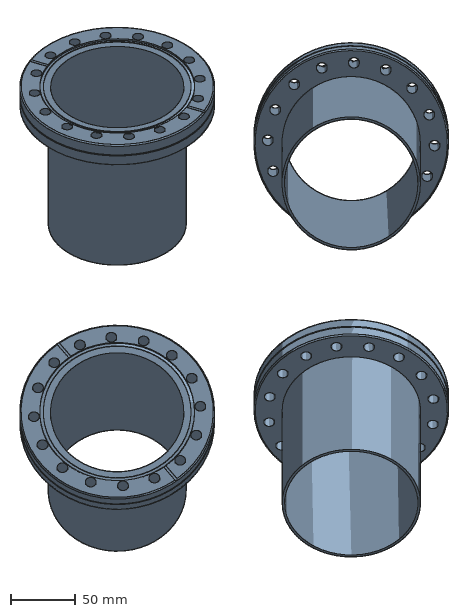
import cadquery as cq

flange_radius = 76.0
total_height = 135.0
flange_thickness = 20.0
edge_chamfer = 1.0
tube_radius = 54.0
bore_radius = 52.0

recess_radius = 60.3
recess_depth = 1.5
knife_radius = 57.6
knife_depth = 0.6
seat_depth = 1.2

rim_groove_width = 1.0
rim_groove_depth = 0.3

bolt_count = 16
bolt_circle_radius = 65.0
bolt_hole_diameter = 8.4

leak_groove_width = 2.1
leak_groove_depth = 0.8
leak_groove_angle = 180.0 / bolt_count

flange_bottom = total_height - flange_thickness
rim_middle = total_height - flange_thickness / 2


def revolved_body():
    """Tube and flange with the recess and rim groove, turned about Z."""
    chamfer_radius = flange_radius - edge_chamfer
    profile = [
        (bore_radius, 0),
        (tube_radius, 0),
        (tube_radius, flange_bottom),
        (chamfer_radius, flange_bottom),
        (flange_radius, flange_bottom + edge_chamfer),
        (flange_radius, rim_middle - rim_groove_width / 2),
        (flange_radius - rim_groove_depth, rim_middle),
        (flange_radius, rim_middle + rim_groove_width / 2),
        (flange_radius, total_height - edge_chamfer),
        (chamfer_radius, total_height),
        (recess_radius, total_height),
        (recess_radius, total_height - recess_depth),
        (knife_radius, total_height - knife_depth),
        (knife_radius, total_height - seat_depth),
        (bore_radius, total_height - seat_depth),
    ]
    return cq.Workplane("XZ").polyline(profile).close().revolve(360, (0, 0), (0, 1))


def bolt_holes():
    return (
        cq.Workplane("XY", origin=(0, 0, flange_bottom))
        .polarArray(bolt_circle_radius, 0, 360, bolt_count)
        .circle(bolt_hole_diameter / 2)
        .extrude(flange_thickness)
    )


def leak_groove(angle):
    """Round-bottomed channel from the recess out through the rim."""
    half_width = leak_groove_width / 2
    cutter_radius = (half_width**2 + leak_groove_depth**2) / (2 * leak_groove_depth)
    axis_height = total_height - leak_groove_depth + cutter_radius
    inner_radius = (recess_radius + knife_radius) / 2
    channel = (
        cq.Workplane("YZ", origin=(inner_radius, 0, 0))
        .center(0, axis_height)
        .circle(cutter_radius)
        .extrude(flange_radius - inner_radius)
    )
    return channel.rotate((0, 0, 0), (0, 0, 1), angle)


result = revolved_body().cut(bolt_holes())
for angle in (leak_groove_angle, leak_groove_angle + 180):
    result = result.cut(leak_groove(angle))